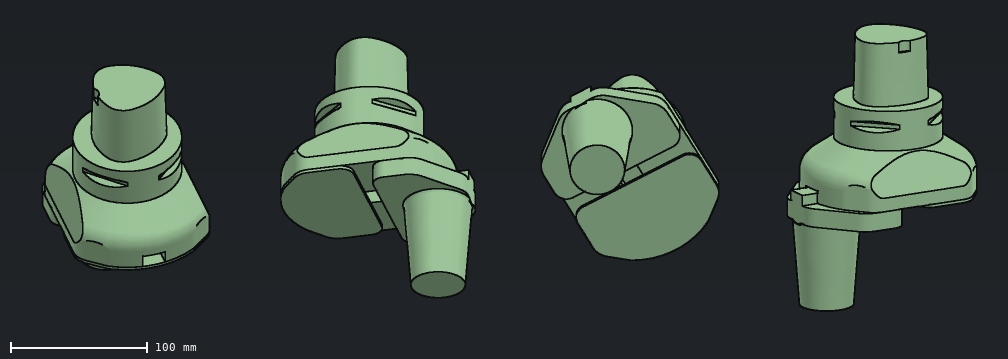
import cadquery as cq
import math


OVERALL_HEIGHT = 198
HALF_WIDTH = 104.0 / 2
KEY_WIDTH = 17.0

HEAD_RADIUS = 65.0
SHOULDER_FILLET = 15.0
CONE_ANGLE = 35
COLLAR_RADIUS = 40.0
COLLAR_BOTTOM = 40.2
COLLAR_TOP = 70.3
CHORD_DISTANCE = 64.2
CHORD_ANGLE = 39.5
CORNER_RADIUS = 15.0
FLANK_BOTTOM = 10.3
FLANK_ANGLE = 20
SLOT_HEIGHT = 9.5

GROOVE_COUNT = 4
GROOVE_HEIGHT = 58.0
GROOVE_DEPTH = 4.5
GROOVE_FLOOR = 3.2
GROOVE_WALL_ANGLE = 30

SHANK_LENGTH = 47.7
LOBE_REACH = 29.5
SIDE_REACH = 25.5
SEAM_REACH = 28.0
SEAM_ANGLE = 39
SHANK_TAPER = 1.2
NOTCH_RADIUS = 12.5 / 2
NOTCH_INSET = 22.0
NOTCH_DEPTH = 8.0

ARM_LEFT = -77.0
ARM_RIGHT = -13.7
ARM_THICKNESS = 13.9
ARM_NOSE_HALF_WIDTH = 15.8
ARM_SIDE_ANGLE = 50
ARM_CORNER_RADIUS = 16.0
INNER_CORNER_RADIUS = 10.0
KEY_HEIGHT = 8.0
STUB_X = -51.9
STUB_TOP_RADIUS = 25.0
STUB_TIP_RADIUS = 20.0
NECK_RADIUS = 25.7
NECK_HEIGHT = 2.0
STUB_BOTTOM = COLLAR_TOP + SHANK_LENGTH - OVERALL_HEIGHT

PAD_LEFT = 1.2
PAD_THICKNESS = 2.5


def head_outline(bottom, height):
    """Prism of the head's plan shape: a disc cut by two side flats and four corner flats."""
    angle = math.radians(CHORD_ANGLE)
    half_chord = math.sqrt(HEAD_RADIUS**2 - CHORD_DISTANCE**2)
    rim_x = CHORD_DISTANCE * math.cos(angle) + half_chord * math.sin(angle)
    rim_y = CHORD_DISTANCE * math.sin(angle) - half_chord * math.cos(angle)
    corner_x = (CHORD_DISTANCE - HALF_WIDTH * math.sin(angle)) / math.cos(angle)
    return (
        cq.Workplane("XY", origin=(0, 0, bottom))
        .moveTo(rim_x, -rim_y)
        .threePointArc((HEAD_RADIUS, 0), (rim_x, rim_y))
        .lineTo(corner_x, HALF_WIDTH)
        .lineTo(-corner_x, HALF_WIDTH)
        .lineTo(-rim_x, rim_y)
        .threePointArc((-HEAD_RADIUS, 0), (-rim_x, -rim_y))
        .lineTo(-corner_x, -HALF_WIDTH)
        .lineTo(corner_x, -HALF_WIDTH)
        .close()
        .extrude(height)
        .edges("|Z")
        .fillet(CORNER_RADIUS)
    )


def dome_waste():
    """Ring of material outside the turned cone and its rounded shoulder."""
    cone = math.radians(CONE_ANGLE)
    arc_centre_x = HEAD_RADIUS - SHOULDER_FILLET
    touch_x = arc_centre_x + SHOULDER_FILLET * math.sin(cone)
    cone_bottom = COLLAR_BOTTOM - (touch_x - COLLAR_RADIUS) * math.tan(cone)
    arc_centre_z = cone_bottom - SHOULDER_FILLET * math.cos(cone)
    middle = (math.pi / 2 - cone) / 2
    outside = 1.2 * HEAD_RADIUS
    return (
        cq.Workplane("XZ")
        .moveTo(HEAD_RADIUS, arc_centre_z)
        .threePointArc((arc_centre_x + SHOULDER_FILLET * math.cos(middle),
                        arc_centre_z + SHOULDER_FILLET * math.sin(middle)),
                       (touch_x, cone_bottom))
        .lineTo(COLLAR_RADIUS, COLLAR_BOTTOM)
        .lineTo(outside, COLLAR_BOTTOM)
        .lineTo(outside, arc_centre_z)
        .close()
        .revolve(360, (0, 0), (0, 1))
    )


def flank_envelope():
    """Bar along X whose sides stand upright, then lean inward up to the collar."""
    lean = (COLLAR_BOTTOM - FLANK_BOTTOM) * math.tan(math.radians(FLANK_ANGLE))
    top = HALF_WIDTH - lean
    return (
        cq.Workplane("YZ")
        .polyline([(-HALF_WIDTH, 0), (HALF_WIDTH, 0), (HALF_WIDTH, FLANK_BOTTOM),
                   (top, COLLAR_BOTTOM), (-top, COLLAR_BOTTOM), (-HALF_WIDTH, FLANK_BOTTOM)])
        .close()
        .extrude(HEAD_RADIUS * 2, both=True)
    )


def grip_groove(direction):
    """Straight V-sided groove with a flat floor, cut across the collar at an angle."""
    floor = COLLAR_RADIUS - GROOVE_DEPTH
    flare = GROOVE_DEPTH * math.tan(math.radians(GROOVE_WALL_ANGLE))
    half_floor = GROOVE_FLOOR / 2
    half_mouth = half_floor + flare
    return (
        cq.Workplane("XZ")
        .polyline([(floor, GROOVE_HEIGHT - half_floor), (COLLAR_RADIUS, GROOVE_HEIGHT - half_mouth),
                   (COLLAR_RADIUS, GROOVE_HEIGHT + half_mouth), (floor, GROOVE_HEIGHT + half_floor)])
        .close()
        .extrude(COLLAR_RADIUS, both=True)
        .rotate((0, 0, 0), (0, 0, 1), direction)
    )


def collar():
    body = (
        cq.Workplane("XY", origin=(0, 0, COLLAR_BOTTOM))
        .circle(COLLAR_RADIUS)
        .extrude(COLLAR_TOP - COLLAR_BOTTOM)
    )
    for index in range(GROOVE_COUNT):
        body = body.cut(grip_groove((index + 0.5) * 360 / GROOVE_COUNT))
    return body


def polar(radius, degrees):
    angle = math.radians(degrees)
    return (radius * math.cos(angle), radius * math.sin(angle))


def lobed_outline(plane, inset):
    """Three long arcs joined by three lobes, with one long side facing -Y."""
    seam = SEAM_REACH - inset
    outline = plane.moveTo(*polar(seam, -90 - SEAM_ANGLE))
    for middle in (-90, 30, 150):
        outline = outline.threePointArc(polar(SIDE_REACH - inset, middle), polar(seam, middle + SEAM_ANGLE))
        outline = outline.threePointArc(polar(LOBE_REACH - inset, middle + 60),
                                        polar(seam, middle + 120 - SEAM_ANGLE))
    return outline.close()


def shank():
    base = lobed_outline(cq.Workplane("XY", origin=(0, 0, COLLAR_TOP)), 0)
    body = lobed_outline(base.workplane(offset=SHANK_LENGTH), SHANK_TAPER).loft(ruled=True)
    notch = (
        cq.Workplane("XY", origin=(0, -NOTCH_INSET - NOTCH_RADIUS, COLLAR_TOP + SHANK_LENGTH - NOTCH_DEPTH))
        .circle(NOTCH_RADIUS)
        .extrude(NOTCH_DEPTH)
    )
    return body.cut(notch)


def make_head():
    slot = cq.Workplane("XY").box(2 * HEAD_RADIUS, KEY_WIDTH, SLOT_HEIGHT, centered=(True, True, False))
    return (
        head_outline(0, COLLAR_BOTTOM)
        .cut(dome_waste())
        .intersect(flank_envelope())
        .union(collar())
        .union(shank())
        .cut(slot)
    )


def arm_plate():
    slant = (HALF_WIDTH - ARM_NOSE_HALF_WIDTH) / math.tan(math.radians(ARM_SIDE_ANGLE))
    shoulder = ARM_LEFT + slant
    return (
        cq.Workplane("XY", origin=(0, 0, -ARM_THICKNESS))
        .polyline([(ARM_LEFT, -ARM_NOSE_HALF_WIDTH), (shoulder, -HALF_WIDTH), (ARM_RIGHT, -HALF_WIDTH),
                   (ARM_RIGHT, HALF_WIDTH), (shoulder, HALF_WIDTH), (ARM_LEFT, ARM_NOSE_HALF_WIDTH)])
        .close()
        .extrude(ARM_THICKNESS)
        .edges("(|Z) and (not >X)")
        .fillet(ARM_CORNER_RADIUS)
        .edges("|Z and >X")
        .fillet(INNER_CORNER_RADIUS)
    )


def stub():
    """Tapered stub with a short flared neck, trimmed flush with the arm's nose."""
    neck_bottom = -ARM_THICKNESS - NECK_HEIGHT
    body = (
        cq.Workplane("XZ", origin=(STUB_X, 0, 0))
        .polyline([(0, -ARM_THICKNESS), (NECK_RADIUS, -ARM_THICKNESS), (STUB_TOP_RADIUS, neck_bottom),
                   (STUB_TIP_RADIUS, STUB_BOTTOM), (0, STUB_BOTTOM)])
        .close()
        .revolve(360, (0, 0), (0, 1))
    )
    trim = cq.Workplane("XY").box(
        NECK_RADIUS, 2 * NECK_RADIUS, -STUB_BOTTOM, centered=(False, True, False)
    ).translate((ARM_LEFT - NECK_RADIUS, 0, STUB_BOTTOM))
    return body.cut(trim)


def make_arm():
    key = cq.Workplane("XY").box(
        ARM_RIGHT - ARM_LEFT, KEY_WIDTH, KEY_HEIGHT, centered=(False, True, False)
    ).translate((ARM_LEFT, 0, 0))
    return arm_plate().union(key).union(stub())


def make_pad():
    """Thin plate under the +X half of the head, following the head's plan shape."""
    block = (
        cq.Workplane("XY", origin=(0, 0, -PAD_THICKNESS))
        .rect(2 * HEAD_RADIUS, 2 * HALF_WIDTH)
        .extrude(PAD_THICKNESS)
        .translate((PAD_LEFT + HEAD_RADIUS, 0, 0))
        .edges("|Z and <X")
        .fillet(INNER_CORNER_RADIUS)
    )
    return head_outline(-PAD_THICKNESS, PAD_THICKNESS).intersect(block)


head = make_head()
arm = make_arm()
pad = make_pad()

result = cq.Compound.makeCompound([head.solids().val(), arm.solids().val(), pad.solids().val()])